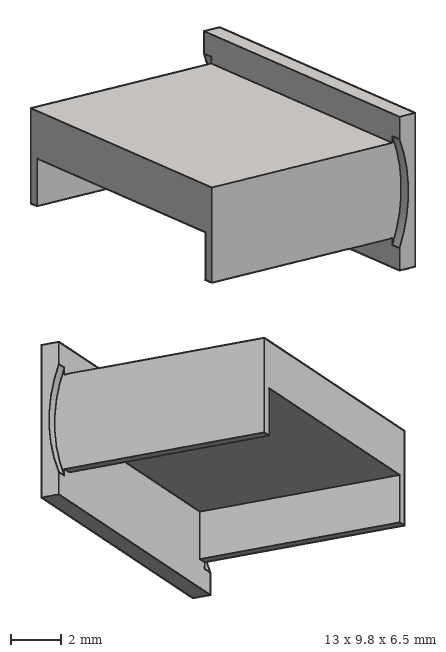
import cadquery as cq

flange_width = 13.0
flange_height = 6.5
flange_thickness = 0.79

overall_depth = 9.8
body_width = 12.04
body_height = 4.03

wall_thickness = 0.43
channel_depth = body_height / 2

notch_height = 4.6
notch_depth = 0.44


def make_flange():
    return cq.Workplane("XY").box(
        flange_width, flange_thickness, flange_height
    ).translate((0, -flange_thickness / 2, 0))


def make_body():
    length = overall_depth - flange_thickness
    centre_y = -flange_thickness - length / 2
    block = cq.Workplane("XY").box(body_width, length, body_height)
    channel = cq.Workplane("XY").box(
        body_width - 2 * wall_thickness, length, channel_depth
    ).translate((0, 0, (channel_depth - body_height) / 2))
    return block.cut(channel).translate((0, centre_y, 0))


def make_notch(side):
    """Circular segment cut, reaching from the body side to the flange end."""
    reach = (flange_width - body_width) / 2
    start_x = body_width / 2 if side > 0 else -flange_width / 2
    return (
        cq.Workplane("YZ", origin=(start_x, -flange_thickness, 0))
        .moveTo(0, -notch_height / 2)
        .threePointArc((notch_depth, 0), (0, notch_height / 2))
        .close()
        .extrude(reach)
    )


flange = make_flange()
for end in (-1, 1):
    flange = flange.cut(make_notch(end))

result = flange.union(make_body())